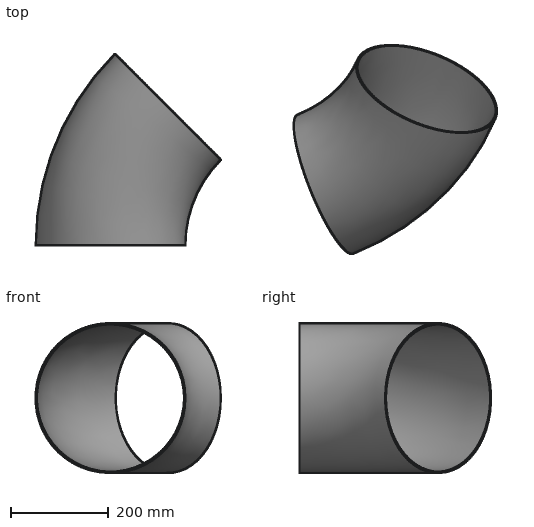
import cadquery as cq
import math

bend_angle = 45.0
overall_length = 391.0
outer_diameter = 306.0
wall_thickness = 3.0

outer_radius = outer_diameter / 2
inner_radius = outer_radius - wall_thickness
bend_radius = overall_length / math.sin(math.radians(bend_angle)) - outer_radius

pipe_section = cq.Workplane("XZ").circle(outer_radius).circle(inner_radius)

axis_start = (bend_radius, 0)
axis_end = (bend_radius, -1)
result = pipe_section.revolve(bend_angle, axis_start, axis_end)